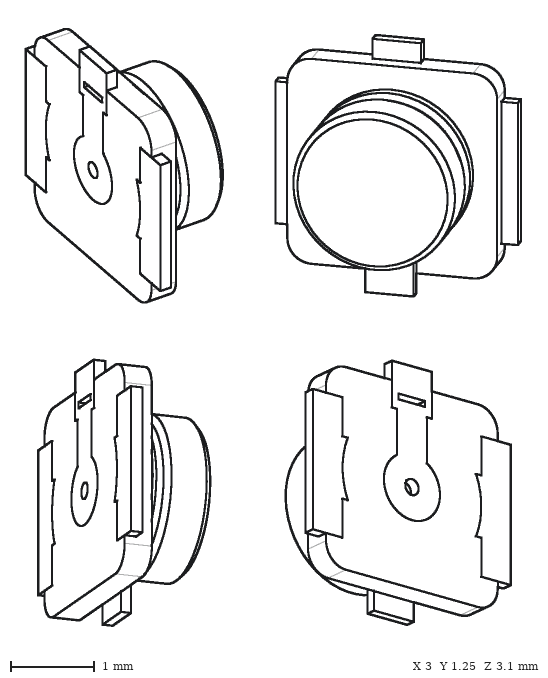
import cadquery as cq
import math

TOTAL_WIDTH = 3.0
TOTAL_DEPTH = 1.25
TOTAL_HEIGHT = 3.1


HOUSING_SIDE = 2.6
HOUSING_THICKNESS = 0.35
HOUSING_CORNER_RADIUS = 0.3

STRIP_THICKNESS = 0.15

TAB_WIDTH = 0.6
TAB_INNER_END = 0.95
NECK_WIDTH = 0.45
DISC_RADIUS = 0.425
DISC_HOLE_DIAMETER = 0.2
SLOT_WIDTH = 0.4
SLOT_HEIGHT = 0.075
SLOT_CENTRE = 1.113

PAD_HEIGHT = 1.8
PAD_INNER_EDGE = 1.05
TONGUE_HEIGHT = 0.8

BARREL_RADIUS = 1.0
CHAMFER_DEPTH = 0.07
CHAMFER_LENGTH = 0.075
FLANGE_THICKNESS = 0.13
GROOVE_WIDTH = 0.093

groove_radius = BARREL_RADIUS - CHAMFER_DEPTH
tongue_tip = math.sqrt(PAD_INNER_EDGE**2 - (TONGUE_HEIGHT / 2) ** 2)


def block(x_range, y_range, z_range):
    """Box between the given (low, high) limits along each axis."""
    limits = (x_range, y_range, z_range)
    sizes = [high - low for low, high in limits]
    corner = tuple(low for low, _ in limits)
    return cq.Workplane("XY").box(*sizes, centered=False).translate(corner)


def centred(size, middle=0):
    """Limits of a length placed symmetrically about its middle."""
    return (middle - size / 2, middle + size / 2)


def disc(radius, thickness):
    """Round plate on the connector axis, starting at the mounting face."""
    return cq.Workplane("XZ").circle(radius).extrude(-thickness)


def make_contact_blank():
    """Signal contact before its slot and hole are cut; also the shape of its recess."""
    tab = block(centred(TAB_WIDTH), (0, STRIP_THICKNESS), (TAB_INNER_END, TOTAL_HEIGHT / 2))
    neck = block(centred(NECK_WIDTH), (0, STRIP_THICKNESS), (0, TAB_INNER_END))
    return disc(DISC_RADIUS, STRIP_THICKNESS).union(neck).union(tab)


def make_contact():
    slot = block(centred(SLOT_WIDTH), (0, STRIP_THICKNESS), centred(SLOT_HEIGHT, SLOT_CENTRE))
    hole = disc(DISC_HOLE_DIAMETER / 2, STRIP_THICKNESS)
    return make_contact_blank().cut(slot).cut(hole)


def make_pad(side):
    """Ground pad on the side given by the sign of X."""
    outer = side * TOTAL_WIDTH / 2
    inner = side * PAD_INNER_EDGE
    tip = side * tongue_tip
    return (
        cq.Workplane("XZ")
        .moveTo(outer, -PAD_HEIGHT / 2)
        .lineTo(inner, -PAD_HEIGHT / 2)
        .lineTo(inner, -TONGUE_HEIGHT / 2)
        .lineTo(tip, -TONGUE_HEIGHT / 2)
        .threePointArc((inner, 0), (tip, TONGUE_HEIGHT / 2))
        .lineTo(inner, TONGUE_HEIGHT / 2)
        .lineTo(inner, PAD_HEIGHT / 2)
        .lineTo(outer, PAD_HEIGHT / 2)
        .close()
        .extrude(-STRIP_THICKNESS)
    )


def make_housing(inserts):
    """Rounded plate with a matching recess for each insert."""
    housing = (
        cq.Workplane("XZ")
        .rect(HOUSING_SIDE, HOUSING_SIDE)
        .extrude(-HOUSING_THICKNESS)
        .edges("|Y")
        .fillet(HOUSING_CORNER_RADIUS)
    )
    for insert in inserts:
        housing = housing.cut(insert)
    return housing


def make_shell():
    """Barrel with chamfered end and chamfer-sided groove, joined to a tail on its base flange."""
    flange_top = HOUSING_THICKNESS + FLANGE_THICKNESS
    groove_start = flange_top + CHAMFER_LENGTH
    groove_end = groove_start + GROOVE_WIDTH
    barrel = (
        cq.Workplane("YZ")
        .moveTo(HOUSING_THICKNESS, 0)
        .lineTo(HOUSING_THICKNESS, BARREL_RADIUS)
        .lineTo(flange_top, BARREL_RADIUS)
        .lineTo(groove_start, groove_radius)
        .lineTo(groove_end, groove_radius)
        .lineTo(groove_end + CHAMFER_LENGTH, BARREL_RADIUS)
        .lineTo(TOTAL_DEPTH - CHAMFER_LENGTH, BARREL_RADIUS)
        .lineTo(TOTAL_DEPTH, groove_radius)
        .lineTo(TOTAL_DEPTH, 0)
        .close()
        .revolve(360, (0, 0), (1, 0))
    )
    tail = block(centred(TAB_WIDTH), (HOUSING_THICKNESS, flange_top), (-TOTAL_HEIGHT / 2, 0))
    return barrel.union(tail)


contact = make_contact()
pads = [make_pad(side) for side in (-1, 1)]
housing = make_housing([make_contact_blank(), *pads])
shell = make_shell()

result = cq.Compound.makeCompound(
    [housing.val(), shell.val(), contact.val(), *[pad.val() for pad in pads]]
)